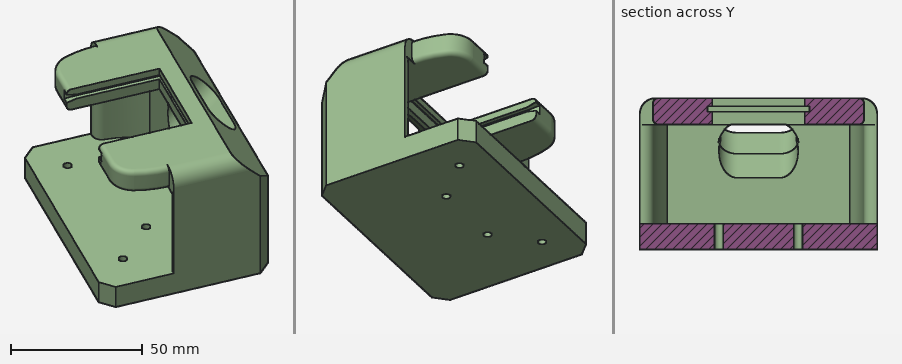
import cadquery as cq
import math

WIDTH = 90.0
DEPTH = 68.5
HEIGHT = 57.35
BASE_THICKNESS = 9.85
BASE_CORNER_CHAMFER = 5.0
BACK_TOP_CHAMFER = 15.0
TOP_SIDE_RADIUS = 6.0

WALL_FRONT_Y = 28.5
CAVITY_BACK_Y = 48.5
ROOF_THICKNESS = 10.0
ROOF_UNDERSIDE_Z = HEIGHT - ROOF_THICKNESS
CAVITY_RADIUS = 40.0
CAVITY_LIP_RADIUS = 4.0

OVERHANG_FRONT_Y = 8.5
OVERHANG_CORNER_RADIUS = 10.0
OVERHANG_EDGE_RADIUS = 2.0

OPENING_WIDTH = 35.0
OPENING_BACK_Y = 46.0
GROOVE_DEPTH = 1.75
GROOVE_HEIGHT = 2.0
GROOVE_FLOOR_Z = 52.2
GROOVE_ENTRY_FLARE = 1.0
GROOVE_ENTRY_LENGTH = 4.0

PASSAGE_STRAIGHT = 16.0
PASSAGE_OUTER_RADIUS = 7.65
PASSAGE_INNER_RADIUS = 7.0
PASSAGE_OUTER_DEPTH = 12.0
PASSAGE_LENGTH = 35.0
PASSAGE_DROP = 7.65
PASSAGE_RIDGE_RADIUS = 2.0
PASSAGE_CENTRE_Y = DEPTH - BACK_TOP_CHAMFER + PASSAGE_DROP
PASSAGE_CENTRE_Z = HEIGHT - PASSAGE_DROP

BASE_HOLE_DIAMETER = 3.2
BASE_HOLE_STEP = 15.0
BASE_HOLES = [
    (BASE_HOLE_STEP, WALL_FRONT_Y),
    (2 * BASE_HOLE_STEP, WALL_FRONT_Y - BASE_HOLE_STEP),
]

SELECTION_MARGIN = 0.1


def box_between(x_min, x_max, y_min, y_max, z_min, z_max):
    """Axis-aligned box given by its limits."""
    size = (x_max - x_min, y_max - y_min, z_max - z_min)
    return cq.Workplane("XY").box(*size, centered=False).translate((x_min, y_min, z_min))


def make_base():
    """Plate under the whole part with four bevelled corners."""
    plate = box_between(-WIDTH / 2, WIDTH / 2, 0, DEPTH, 0, BASE_THICKNESS)
    return plate.edges("|Z").chamfer(BASE_CORNER_CHAMFER)


def make_housing():
    """Solid block over the rear of the base with a sloping back and rounded top sides."""
    block = box_between(-WIDTH / 2, WIDTH / 2, WALL_FRONT_Y, DEPTH, 0, HEIGHT)
    block = block.edges("|Z and >Y").chamfer(BASE_CORNER_CHAMFER)
    block = block.edges("|Y and >Z").fillet(TOP_SIDE_RADIUS)
    slope = (
        cq.Workplane("YZ")
        .moveTo(DEPTH, HEIGHT)
        .lineTo(DEPTH - BACK_TOP_CHAMFER, HEIGHT)
        .lineTo(DEPTH, HEIGHT - BACK_TOP_CHAMFER)
        .close()
        .extrude(WIDTH / 2, both=True)
    )
    return block.cut(slope)


def make_cavity():
    """Arched pocket between base and roof whose mouth flares out over rounded wall lips."""
    centre_distance = CAVITY_RADIUS + CAVITY_LIP_RADIUS
    lip_centre_x = math.sqrt(centre_distance**2 - CAVITY_LIP_RADIUS**2)
    tangent_scale = CAVITY_RADIUS / centre_distance
    tangent_x = lip_centre_x * tangent_scale
    tangent_y = WALL_FRONT_Y + CAVITY_LIP_RADIUS * tangent_scale
    back_y_offset = CAVITY_BACK_Y - WALL_FRONT_Y
    back_x = math.sqrt(CAVITY_RADIUS**2 - back_y_offset**2)
    return (
        cq.Workplane("XY", origin=(0, 0, BASE_THICKNESS))
        .moveTo(-lip_centre_x, WALL_FRONT_Y)
        .lineTo(lip_centre_x, WALL_FRONT_Y)
        .radiusArc((tangent_x, tangent_y), CAVITY_LIP_RADIUS)
        .radiusArc((back_x, CAVITY_BACK_Y), -CAVITY_RADIUS)
        .lineTo(-back_x, CAVITY_BACK_Y)
        .radiusArc((-tangent_x, tangent_y), -CAVITY_RADIUS)
        .radiusArc((-lip_centre_x, WALL_FRONT_Y), CAVITY_LIP_RADIUS)
        .close()
        .extrude(ROOF_UNDERSIDE_Z - BASE_THICKNESS)
    )


def make_overhang():
    """Round-sided roof slab reaching forward, with softened edges."""
    disc = (
        cq.Workplane("XY", origin=(0, WALL_FRONT_Y, ROOF_UNDERSIDE_Z))
        .circle(CAVITY_RADIUS)
        .extrude(ROOF_THICKNESS)
    )
    front_part = box_between(-WIDTH, WIDTH, OVERHANG_FRONT_Y, WALL_FRONT_Y, 0, HEIGHT)
    slab = disc.intersect(front_part)
    slab = slab.faces("<Y").edges("|Z").fillet(OVERHANG_CORNER_RADIUS)
    return slab.faces("<Y").edges("|X").fillet(OVERHANG_EDGE_RADIUS)


def make_roof_opening():
    """Open-fronted rectangular cutout with a groove and flared groove entries."""
    half_opening = OPENING_WIDTH / 2
    half_groove = half_opening + GROOVE_DEPTH
    groove_top_z = GROOVE_FLOOR_Z + GROOVE_HEIGHT
    opening = box_between(
        -half_opening, half_opening, 0, OPENING_BACK_Y, ROOF_UNDERSIDE_Z, HEIGHT
    )
    groove = box_between(
        -half_groove, half_groove, 0, OPENING_BACK_Y + GROOVE_DEPTH, GROOVE_FLOOR_Z, groove_top_z
    )
    flare = (
        cq.Workplane("XZ", origin=(0, OVERHANG_FRONT_Y, (GROOVE_FLOOR_Z + groove_top_z) / 2))
        .rect(2 * (half_groove + GROOVE_ENTRY_FLARE), GROOVE_HEIGHT + 2 * GROOVE_ENTRY_FLARE)
        .workplane(offset=-GROOVE_ENTRY_LENGTH)
        .rect(2 * half_groove, GROOVE_HEIGHT)
        .loft(ruled=True)
    )
    return opening.union(groove).union(flare)


def make_passage_section(radius, length):
    """Oblong prism running from the sloping back face down into the housing."""
    slope_plane = cq.Plane(
        origin=(0, PASSAGE_CENTRE_Y, PASSAGE_CENTRE_Z), xDir=(1, 0, 0), normal=(0, 1, 1)
    )
    return (
        cq.Workplane(slope_plane)
        .slot2D(PASSAGE_STRAIGHT + 2 * radius, 2 * radius)
        .extrude(-length)
    )


def make_base_holes():
    """Mirrored pairs of round holes through the base."""
    places = [(side * x, y) for x, y in BASE_HOLES for side in (-1, 1)]
    return (
        cq.Workplane("XY")
        .pushPoints(places)
        .circle(BASE_HOLE_DIAMETER / 2)
        .extrude(BASE_THICKNESS)
    )


def cut_passage(body):
    """Cut both passage sections and round the ridges left where their step meets the cavity."""
    body = body.cut(make_passage_section(PASSAGE_OUTER_RADIUS, PASSAGE_OUTER_DEPTH))
    body = body.cut(make_passage_section(PASSAGE_INNER_RADIUS, PASSAGE_LENGTH))
    step_y_plus_z = PASSAGE_CENTRE_Y + PASSAGE_CENTRE_Z - PASSAGE_OUTER_DEPTH * math.sqrt(2)
    ridge_z = step_y_plus_z - CAVITY_BACK_Y
    ridge_zone = cq.selectors.BoxSelector(
        (-WIDTH / 2, CAVITY_BACK_Y - SELECTION_MARGIN, ridge_z - SELECTION_MARGIN),
        (WIDTH / 2, CAVITY_BACK_Y + SELECTION_MARGIN, ridge_z + SELECTION_MARGIN),
    )
    return body.edges(ridge_zone).fillet(PASSAGE_RIDGE_RADIUS)


result = make_base().union(make_housing()).cut(make_cavity())
result = cut_passage(result)
result = result.union(make_overhang()).cut(make_roof_opening()).cut(make_base_holes())